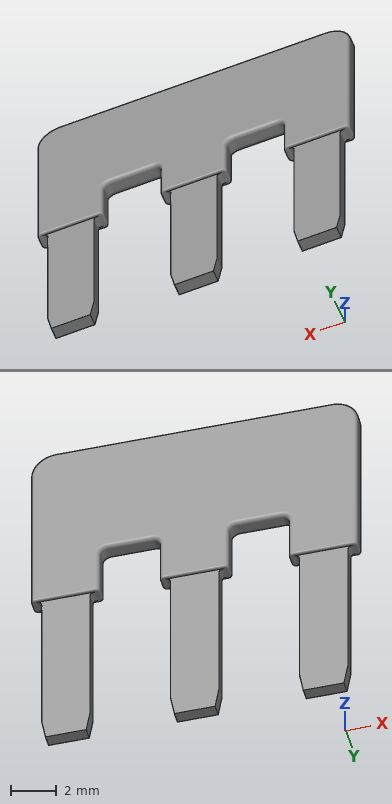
import cadquery as cq

total_width = 14.7
total_height = 17.15
leg_count = 3
leg_pitch = 5.8

body_thickness = 0.8
body_bottom = 8.32
corner_radius = 1.15
edge_round = 0.2
bottom_round = 0.09

foot_width = total_width - (leg_count - 1) * leg_pitch
slot_width = leg_pitch - foot_width
slot_top = 10.84
slot_corner_radius = 0.35

leg_width = 2.18
leg_thickness = 0.55
root_radius = 0.2
tip_height = 1.0
tip_inset = 0.17
leg_embed = 0.85


def centred_positions(count):
    """X positions of `count` features at the leg pitch, centred on X = 0."""
    return [(i - (count - 1) / 2) * leg_pitch for i in range(count)]


def make_body():
    body_height = total_height - body_bottom
    body = (
        cq.Workplane("XY")
        .workplane(offset=body_bottom)
        .box(total_width, body_thickness, body_height, centered=(True, True, False))
        .edges("|Y and >Z")
        .fillet(corner_radius)
    )
    slot_height = slot_top - body_bottom
    for x in centred_positions(leg_count - 1):
        slot = (
            cq.Workplane("XY")
            .workplane(offset=body_bottom)
            .center(x, 0)
            .box(slot_width, body_thickness, slot_height, centered=(True, True, False))
            .edges("|Y and >Z")
            .fillet(slot_corner_radius)
        )
        body = body.cut(slot)

    body = body.faces("<Y or >Y").edges("not <Z").fillet(edge_round)
    return body.faces("<Z").edges().fillet(bottom_round)


def make_leg(x):
    """Flat leg with a tapered tip and a flared root that runs into the body."""
    half = leg_width / 2
    root = half + root_radius
    flare_bottom = body_bottom - root_radius
    leg_top = body_bottom + leg_embed
    return (
        cq.Workplane("XZ")
        .center(x, 0)
        .moveTo(half - tip_inset, 0)
        .lineTo(half, tip_height)
        .lineTo(half, flare_bottom)
        .radiusArc((root, body_bottom), root_radius)
        .lineTo(root, leg_top)
        .lineTo(-root, leg_top)
        .lineTo(-root, body_bottom)
        .radiusArc((-half, flare_bottom), root_radius)
        .lineTo(-half, tip_height)
        .lineTo(tip_inset - half, 0)
        .close()
        .extrude(leg_thickness / 2, both=True)
    )


result = make_body()
for leg_x in centred_positions(leg_count):
    result = result.union(make_leg(leg_x))